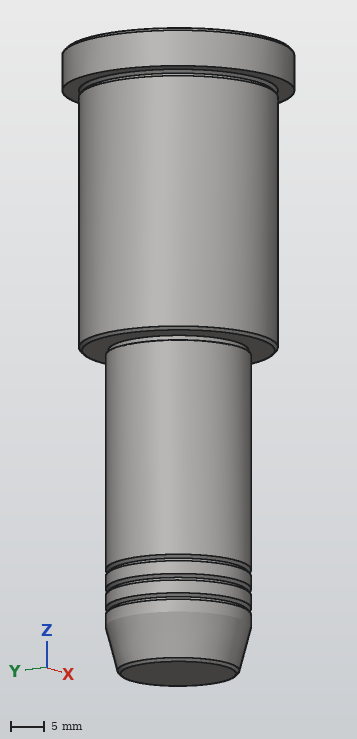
import cadquery as cq

total_length = 96.0
head_diameter = 35.0
sleeve_diameter = 30.0
pin_diameter = 22.0
tip_diameter = 18.4

head_bottom = 90.0
sleeve_bottom = 49.9
taper_top = 7.2

head_chamfer = 0.5
sleeve_chamfer = 0.5
tip_chamfer = 0.5

sleeve_relief_width = 0.8
sleeve_relief_depth = 0.4

groove_depth = 0.5
ring_groove_count = 3
first_groove_height = 9.6
groove_pitch = 3.0


def cylinder(diameter, bottom, top):
    """Solid cylinder on the Z axis between two heights."""
    return cq.Workplane("XY").workplane(offset=bottom).circle(diameter / 2).extrude(top - bottom)


def cut_v_groove(body, diameter, height):
    """Cut a 90-degree V-groove centred at the given height of a cylindrical surface."""
    radius = diameter / 2
    groove = (
        cq.Workplane("XZ")
        .moveTo(radius - groove_depth, height)
        .lineTo(radius + groove_depth, height + 2 * groove_depth)
        .lineTo(radius + groove_depth, height - 2 * groove_depth)
        .close()
        .revolve(360, (0, 0, 0), (0, 1, 0))
    )
    return body.cut(groove)


head = cylinder(head_diameter, head_bottom, total_length).faces(">Z").chamfer(head_chamfer)

sleeve = cylinder(sleeve_diameter, sleeve_bottom, head_bottom).faces("<Z").chamfer(sleeve_chamfer)
sleeve = cut_v_groove(sleeve, sleeve_diameter, head_bottom - groove_depth)

sleeve_relief_bottom = sleeve_bottom - sleeve_relief_width
pin = cylinder(pin_diameter, taper_top, sleeve_relief_bottom)
sleeve_neck = cylinder(pin_diameter - 2 * sleeve_relief_depth, sleeve_relief_bottom, sleeve_bottom)
for index in range(ring_groove_count):
    groove_height = first_groove_height + index * groove_pitch
    pin = cut_v_groove(pin, pin_diameter, groove_height)

tip = (
    cq.Workplane("XZ")
    .lineTo(tip_diameter / 2 - tip_chamfer, 0)
    .lineTo(tip_diameter / 2, tip_chamfer)
    .lineTo(pin_diameter / 2, taper_top)
    .lineTo(0, taper_top)
    .close()
    .revolve(360, (0, 0, 0), (0, 1, 0))
)

result = head.union(sleeve).union(sleeve_neck).union(pin).union(tip)